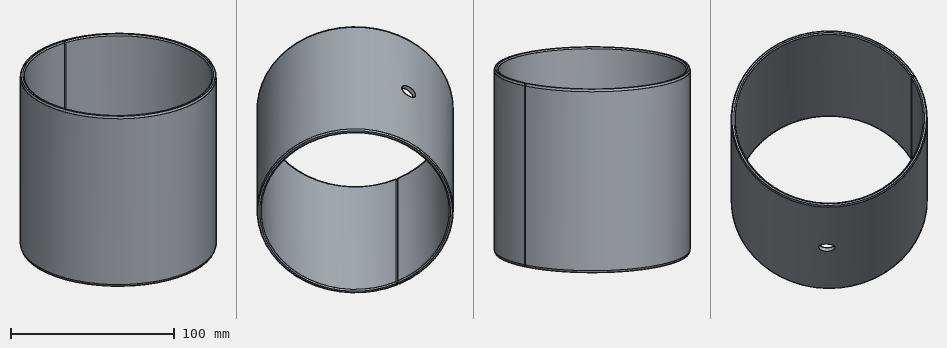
import cadquery as cq
import math

outer_diameter = 120.0
wall = 2.5
length = 115.0
outer_chamfer_length = 1.5
outer_chamfer_angle = 20.0
inner_chamfer = 0.8
split_angle = 1.0
split_start = 180.0
oil_hole_diameter = 10.0
oil_hole_direction = 59.0

outer_radius = outer_diameter / 2
inner_radius = outer_radius - wall
half_length = length / 2
outer_chamfer_depth = outer_chamfer_length * math.tan(math.radians(outer_chamfer_angle))


def split_sleeve():
    """Revolve the chamfered wall section around Z, leaving the gap open."""
    section = [
        (inner_radius, inner_chamfer - half_length),
        (inner_radius + inner_chamfer, -half_length),
        (outer_radius - outer_chamfer_depth, -half_length),
        (outer_radius, outer_chamfer_length - half_length),
        (outer_radius, half_length - outer_chamfer_length),
        (outer_radius - outer_chamfer_depth, half_length),
        (inner_radius + inner_chamfer, half_length),
        (inner_radius, half_length - inner_chamfer),
    ]
    sleeve = (
        cq.Workplane("XZ")
        .polyline(section)
        .close()
        .revolve(360 - split_angle, (0, 0, 0), (0, 1, 0))
    )
    return sleeve.rotate((0, 0, 0), (0, 0, 1), split_start)


def oil_hole():
    """Radial cutter at mid-length, reaching through one side of the wall."""
    cutter = cq.Workplane("YZ").circle(oil_hole_diameter / 2).extrude(outer_diameter)
    return cutter.rotate((0, 0, 0), (0, 0, 1), oil_hole_direction)


result = split_sleeve().cut(oil_hole())